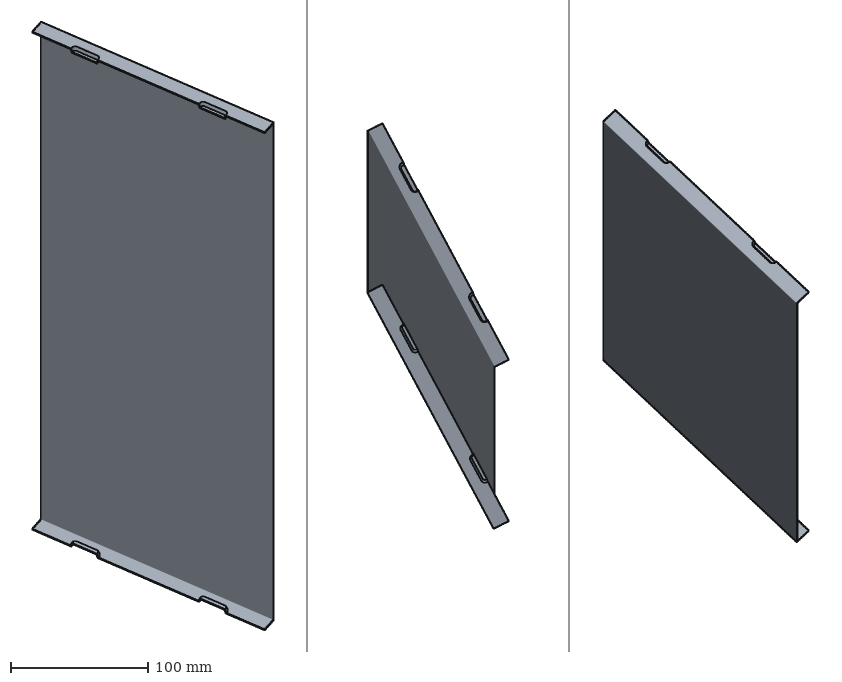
import math

import cadquery as cq

width = 200.0
depth = 12.5
height = 504.5

sheet = 1.0
bend_radius = 0.5

dent_spacing = 110.0
dent_width = 24.0
dent_reach = 4.5
dent_drop = 3.0
dent_slope = 1.25
dent_corner = 3.5

front = -depth / 2
draft = math.atan(dent_slope / dent_drop)
wall_inset = sheet * (1 - math.sin(draft)) / math.cos(draft)


def make_channel():
    """Flat panel with a flange folded forward along its top and bottom edges."""
    outer = cq.Workplane("XY").box(width, depth, height)
    outer = outer.edges("|X and >Y").fillet(bend_radius)
    hollow = cq.Workplane("XY").box(width, depth, height - 2 * sheet)
    hollow = hollow.edges("|X and >Y").fillet(bend_radius)
    return outer.cut(hollow.translate((0, -sheet, 0)))


def make_plug(x_centre, top, inset):
    """Block tapering downward from height top, with round inner corners, cut off at the free edge.

    It is drawn symmetric about the free edge, and only its half inside the envelope is kept.
    """
    plug = (
        cq.Workplane("XY", origin=(x_centre, front, top))
        .sketch()
        .rect(dent_width - 2 * inset, 2 * (dent_reach - inset))
        .vertices()
        .fillet(dent_corner - inset)
        .finalize()
        .extrude(-dent_drop, taper=math.degrees(draft))
    )
    envelope = cq.Workplane("XY").box(width, depth, height)
    return plug.intersect(envelope)


def press_dent(channel, x_centre):
    """Press matching dents into the top and bottom flanges."""
    skin = make_plug(x_centre, height / 2 - sheet, 0)
    recess = make_plug(x_centre, height / 2, wall_inset)
    channel = channel.union(skin).union(skin.mirror("XY"))
    return channel.cut(recess).cut(recess.mirror("XY"))


result = make_channel()
for side in (-1, 1):
    result = press_dent(result, side * dent_spacing / 2)